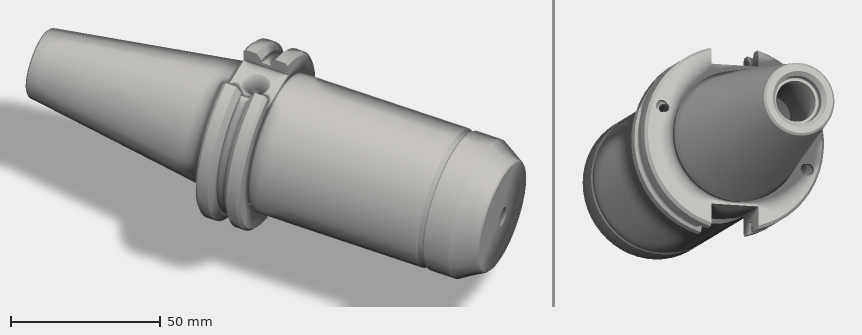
import cadquery as cq
import math

TOTAL_LENGTH = 169.8

TAPER_RATIO = 7 / 24
TAPER_END = 68.3
TAPER_RADIUS = 22.3
TIP_RADIUS = TAPER_RADIUS - TAPER_RATIO * TAPER_END / 2
TIP_CHAMFER = 0.7
RELIEF_DIAMETER = 43.7
RELIEF_START = 69.5

FLANGE_START = 71.0
FLANGE_END = 87.3
FLANGE_RADIUS = 31.6
FLANGE_CHAMFER = 1.0
GROOVE_CENTER = 79.3
GROOVE_TOP_WIDTH = 7.0
GROOVE_FLOOR_WIDTH = 3.4
GROOVE_FLOOR_RADIUS = 28.0
GROOVE_WALL_FOOT_RADIUS = 29.2

BODY_RADIUS = 24.6
NECK_DIAMETER = 48.2
NECK_END = 88.0
RING_START = 149.0
RING_END = 152.0
RING_FLOOR_DIAMETER = 48.2
RING_LEAD_IN = 0.8
NOSE_START = 161.2
NOSE_ANGLE = 30.0
NOSE_CHAMFER = 0.5

SLOT_WIDTH = 16.5
TOP_SLOT_HEIGHT = 24.8
BOTTOM_SLOT_DEPTH = 23.0
BOTTOM_SLOT_END = 96.0
DIMPLE_DIAMETER = 9.5

DRILL_TIP_HALF_ANGLE = 59.0

MOUTH_DIAMETER = 19.0
COUNTERBORE_DIAMETER = 16.3
MOUTH_DEPTH = 1.5
COUNTERBORE_DEPTH = 4.2
THREAD_DIAMETER = 14.0
THREAD_DEPTH = 32.3
COOLANT_DIAMETER = 7.0

CHANNEL_DIAMETER = 3.2
CHANNEL_START_RADIUS = 26.3
CHANNEL_END_RADIUS = 23.0
PORT_DIAMETER = 4.0
PORT_RADIUS = 27.3
PORT_DEPTH = 1.7
CHANNEL_ANGLE = 20.0


def revolve_about_axis(points):
    """Revolve an (x, radius) outline about the X axis."""
    return cq.Workplane("XY").polyline(points).close().revolve(360, (0, 0, 0), (1, 0, 0))


def make_outer_body():
    tip_body_radius = TIP_RADIUS + TAPER_RATIO * TIP_CHAMFER / 2
    groove_half_top = GROOVE_TOP_WIDTH / 2
    groove_half_floor = GROOVE_FLOOR_WIDTH / 2
    ring_depth = BODY_RADIUS - RING_FLOOR_DIAMETER / 2
    nose_end = TOTAL_LENGTH - NOSE_CHAMFER
    nose_radius = BODY_RADIUS - (nose_end - NOSE_START) * math.tan(math.radians(NOSE_ANGLE))
    return revolve_about_axis([
        (0, 0),
        (0, TIP_RADIUS - TIP_CHAMFER),
        (TIP_CHAMFER, tip_body_radius),
        (TAPER_END, TAPER_RADIUS),
        (RELIEF_START, RELIEF_DIAMETER / 2),
        (FLANGE_START, RELIEF_DIAMETER / 2),
        (FLANGE_START, FLANGE_RADIUS - FLANGE_CHAMFER),
        (FLANGE_START + FLANGE_CHAMFER, FLANGE_RADIUS),
        (GROOVE_CENTER - groove_half_top, FLANGE_RADIUS),
        (GROOVE_CENTER - groove_half_floor, GROOVE_WALL_FOOT_RADIUS),
        (GROOVE_CENTER - groove_half_floor, GROOVE_FLOOR_RADIUS),
        (GROOVE_CENTER + groove_half_floor, GROOVE_FLOOR_RADIUS),
        (GROOVE_CENTER + groove_half_floor, GROOVE_WALL_FOOT_RADIUS),
        (GROOVE_CENTER + groove_half_top, FLANGE_RADIUS),
        (FLANGE_END - FLANGE_CHAMFER, FLANGE_RADIUS),
        (FLANGE_END, FLANGE_RADIUS - FLANGE_CHAMFER),
        (FLANGE_END, NECK_DIAMETER / 2),
        (NECK_END, NECK_DIAMETER / 2),
        (NECK_END, BODY_RADIUS),
        (RING_START, BODY_RADIUS),
        (RING_START + RING_LEAD_IN, RING_FLOOR_DIAMETER / 2),
        (RING_END - ring_depth, RING_FLOOR_DIAMETER / 2),
        (RING_END, BODY_RADIUS),
        (NOSE_START, BODY_RADIUS),
        (nose_end, nose_radius),
        (TOTAL_LENGTH, nose_radius - NOSE_CHAMFER),
        (TOTAL_LENGTH, 0),
    ])


def make_bore():
    cone_length = (THREAD_DIAMETER - COOLANT_DIAMETER) / 2 / math.tan(math.radians(DRILL_TIP_HALF_ANGLE))
    return revolve_about_axis([
        (0, 0),
        (0, MOUTH_DIAMETER / 2),
        (MOUTH_DEPTH, COUNTERBORE_DIAMETER / 2),
        (COUNTERBORE_DEPTH, COUNTERBORE_DIAMETER / 2),
        (COUNTERBORE_DEPTH, THREAD_DIAMETER / 2),
        (THREAD_DEPTH, THREAD_DIAMETER / 2),
        (THREAD_DEPTH + cone_length, COOLANT_DIAMETER / 2),
        (TOTAL_LENGTH, COOLANT_DIAMETER / 2),
        (TOTAL_LENGTH, 0),
    ])


def make_top_slot():
    """Straight drive slot with a conical dimple in its floor."""
    flange_width = FLANGE_END - FLANGE_START
    slot = (
        cq.Workplane("XY", origin=(FLANGE_START, 0, TOP_SLOT_HEIGHT))
        .rect(flange_width, SLOT_WIDTH)
        .extrude(FLANGE_RADIUS)
        .translate((flange_width / 2, 0, 0))
    )
    dimple_radius = DIMPLE_DIAMETER / 2
    dimple = cq.Solid.makeCone(
        dimple_radius, 0, dimple_radius,
        cq.Vector(GROOVE_CENTER, 0, TOP_SLOT_HEIGHT), cq.Vector(0, 0, -1),
    )
    return slot.union(cq.Workplane(dimple))


def make_bottom_slot():
    """Deeper drive slot that runs into the body and ends in a half round."""
    half_width = SLOT_WIDTH / 2
    round_center = BOTTOM_SLOT_END - half_width
    return (
        cq.Workplane("XY", origin=(0, 0, -BOTTOM_SLOT_DEPTH))
        .moveTo(FLANGE_START, -half_width)
        .lineTo(round_center, -half_width)
        .threePointArc((BOTTOM_SLOT_END, 0), (round_center, half_width))
        .lineTo(FLANGE_START, half_width)
        .close()
        .extrude(-FLANGE_RADIUS)
    )


def make_channel(angle):
    """Pointed round port in the flange face, leading into a channel that leans towards the axis."""
    start = cq.Vector(FLANGE_START, CHANNEL_START_RADIUS, 0)
    run = cq.Vector(FLANGE_END, CHANNEL_END_RADIUS, 0) - start
    direction = run.normalized()
    overrun = CHANNEL_DIAMETER / 2
    channel = cq.Solid.makeCylinder(
        CHANNEL_DIAMETER / 2, run.Length + overrun, start - direction * overrun, direction
    )
    port_radius = PORT_DIAMETER / 2
    axial = cq.Vector(1, 0, 0)
    port = cq.Solid.makeCylinder(
        port_radius, PORT_DEPTH, cq.Vector(FLANGE_START, PORT_RADIUS, 0), axial
    )
    tip_length = port_radius / math.tan(math.radians(DRILL_TIP_HALF_ANGLE))
    port_tip = cq.Solid.makeCone(
        port_radius, 0, tip_length, cq.Vector(FLANGE_START + PORT_DEPTH, PORT_RADIUS, 0), axial
    )
    cutter = cq.Workplane(channel).union(cq.Workplane(port)).union(cq.Workplane(port_tip))
    return cutter.rotate((0, 0, 0), (1, 0, 0), angle)


result = make_outer_body().cut(make_bore()).cut(make_top_slot()).cut(make_bottom_slot())
for opposite in (0, 180):
    result = result.cut(make_channel(CHANNEL_ANGLE + opposite))